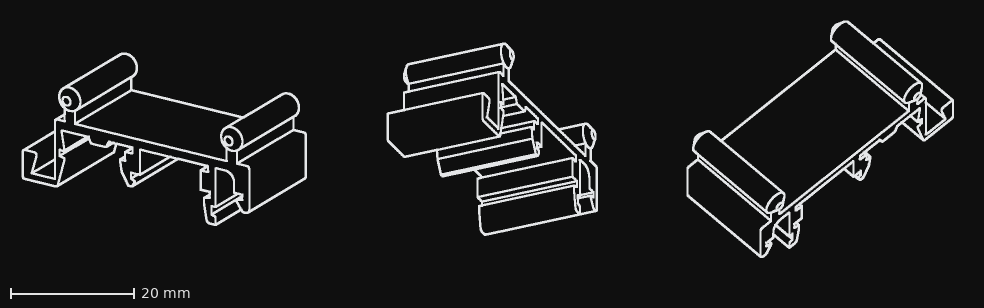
import cadquery as cq
import math

length = 43.65
height = 18.0
body_width = 17.02
rail_length = 19.0

plate_top = 11.85
plate_underside = 10.13
wall_x = 6.2

hook_top_z = 5.1
hook_floor_z = 1.3

catch_leg_x = 22.55
long_leg_x = 37.15
end_hook_x = 40.73

undercut_z = 9.1
block_bottom_z = 5.67
groove_top_z = 6.6
catch_bottom_z = 3.27
long_leg_bottom_z = 0.15
end_hook_bottom_z = 3.55

rail_diameter = 4.1
rail_tip_diameter = 1.53
stem_width = 1.95
rail_positions = (9.1, 40.3)

small_radius = 0.17
edge_radius = 0.45
nose_radius = 0.7
cove_radius = 1.75

hooked_wall = [
    (wall_x, plate_top, edge_radius),
    (wall_x, hook_floor_z, 0),
    (1.75, hook_floor_z, 0),
    (2.85, hook_top_z, edge_radius),
    (0, hook_top_z, edge_radius),
    (0, 0, edge_radius),
    (6.7, 0, edge_radius),
    (8.1, 5.33, small_radius),
    (7.1, 5.55, 0),
    (7.1, groove_top_z, 0),
    (8.08, groove_top_z, small_radius),
    (7.45, plate_underside, small_radius),
]

underside_bead = [
    (12.65, plate_underside, 0),
    (13.2, undercut_z, 0),
    (16.05, undercut_z, 0),
    (16.6, plate_underside, 0),
]

catch_leg = [
    (21.13, plate_underside, small_radius),
    (21.13, undercut_z, small_radius),
    (19.7, undercut_z, small_radius),
    (19.7, 7.5, 0),
    (18.73, 7.5, 0),
    (19.05, 5.5, 0),
    (20.35, catch_bottom_z, 0),
    (21.05, catch_bottom_z, 0),
    (21.7, 4.3, small_radius),
    (20.85, 4.63, 0),
    (20.85, block_bottom_z, 0),
    (catch_leg_x, block_bottom_z, 0),
    (catch_leg_x, plate_underside, small_radius),
]

long_leg = [
    (35.7, plate_underside, small_radius),
    (35.7, undercut_z, small_radius),
    (34.25, undercut_z, 0),
    (34.25, block_bottom_z, 0),
    (36.0, block_bottom_z, 0),
    (36.0, 4.6, small_radius),
    (34.9, 4.4, small_radius),
    (34.9, 3.3, 0),
    (35.5, long_leg_bottom_z, nose_radius),
    (long_leg_x, long_leg_bottom_z, 0),
    (long_leg_x, 1.55, small_radius),
    (36.35, 1.8, 0),
    (36.35, catch_bottom_z, 0),
    (long_leg_x, catch_bottom_z, 0),
    (long_leg_x, plate_underside, small_radius),
]

end_hook = [
    (end_hook_x, plate_underside, cove_radius),
    (end_hook_x, groove_top_z, small_radius),
    (42.3, groove_top_z, 0),
    (42.3, 5.65, 0),
    (41.05, 5.45, small_radius),
    (42.35, end_hook_bottom_z, nose_radius),
    (length, end_hook_bottom_z, nose_radius),
    (length, plate_top, edge_radius),
]


def corner_arc(before, corner, after):
    """Return start, middle and end of the arc that rounds a corner."""
    point = cq.Vector(corner[0], corner[1])
    to_before = (cq.Vector(before[0], before[1]) - point).normalized()
    to_after = (cq.Vector(after[0], after[1]) - point).normalized()
    half_angle = to_before.getAngle(to_after) / 2
    radius = corner[2]
    setback = radius / math.tan(half_angle)
    to_center = (to_before + to_after).normalized()
    middle_distance = radius / math.sin(half_angle) - radius
    start = point + to_before * setback
    middle = point + to_center * middle_distance
    end = point + to_after * setback
    return [(v.x, v.y) for v in (start, middle, end)]


def extrude_outline(corners, width):
    """Extrude a closed outline with rounded corners, centred on Y = 0."""
    first, last = corners[0], corners[-1]
    sketch = cq.Workplane("XZ").moveTo((first[0] + last[0]) / 2, (first[1] + last[1]) / 2)
    for i, corner in enumerate(corners):
        if corner[2] == 0:
            sketch = sketch.lineTo(corner[0], corner[1])
        else:
            after = corners[(i + 1) % len(corners)]
            start, middle, end = corner_arc(corners[i - 1], corner, after)
            sketch = sketch.lineTo(*start).threePointArc(middle, end)
    return sketch.close().extrude(width / 2, both=True)


def make_rail(x):
    """Make a round bar with conical ends, and the stem below it."""
    radius = rail_diameter / 2
    tip_radius = rail_tip_diameter / 2
    center_z = height - radius
    half_body = body_width / 2
    half_rail = rail_length / 2
    bar = (
        cq.Workplane("XY")
        .polyline([
            (0, -half_rail),
            (tip_radius, -half_rail),
            (radius, -half_body),
            (radius, half_body),
            (tip_radius, half_rail),
            (0, half_rail),
        ])
        .close()
        .revolve(360, (0, 0), (0, 1))
        .translate((x, 0, center_z))
    )
    stem_height = center_z - plate_underside
    stem = (
        cq.Workplane("XY")
        .box(stem_width, body_width, stem_height, centered=(True, True, False))
        .translate((x, 0, plate_underside))
    )
    return bar.union(stem)


body_corners = hooked_wall + underside_bead + catch_leg + long_leg + end_hook
result = extrude_outline(body_corners, body_width)
for rail_x in rail_positions:
    result = result.union(make_rail(rail_x))